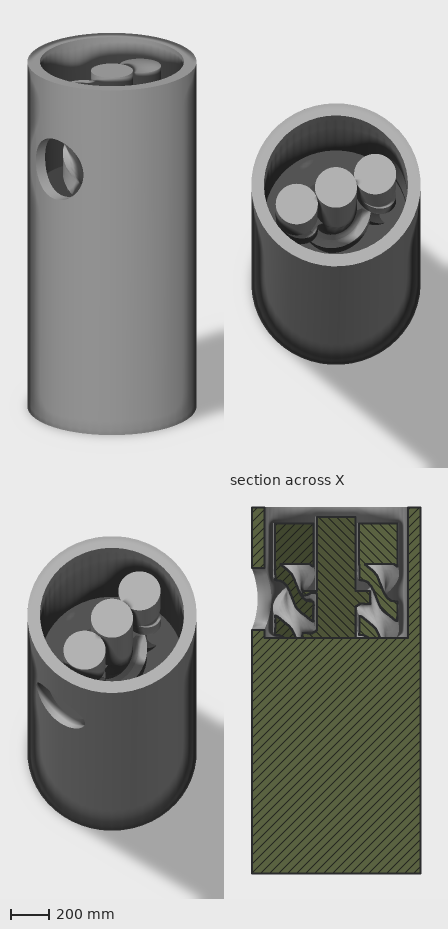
import cadquery as cq
import math

HOUSING_DIAMETER = 880.0
HOUSING_HEIGHT = 1907.0
BORE_DIAMETER = 750.0
FLOOR_Z = 1230.0
PORT_DIAMETER = 332.0
PORT_Z = 1430.0

PITCH_RADIUS = 109.6
POWER_TIP_RADIUS = 183.0
SHAFT_SPACING = 2 * PITCH_RADIUS
GROOVE_ROOT_HALF_ANGLE = 30.0
POWER_WEB_HALF_WIDTH = 55.0
LEAD = 572.0
POWER_THREAD_TOP_Z = 1472.0
IDLER_THREAD_TOP_Z = 1611.0
STARTS = 2
LOBE_PITCH = 360 / STARTS

POWER_SHAFT_TOP_Z = 1857.0
IDLER_SHAFT_TOP_Z = 1825.0

FLANK_STEPS = 8


def polar(radius, degrees):
    angle = math.radians(degrees)
    return (radius * math.cos(angle), radius * math.sin(angle))


def triangle_angle(side_a, side_b, opposite):
    """Angle in degrees between two sides of a triangle, from its three side lengths."""
    return math.degrees(math.acos((side_a**2 + side_b**2 - opposite**2) / (2 * side_a * side_b)))


def twist_angle(thread_top_z):
    """Turn of the thread between the housing floor and a given height."""
    return 360 * (thread_top_z - FLOOR_Z) / LEAD


def make_screw(section, hand, thread_top_z, shaft_top_z):
    """Twist a section up from the floor and put a plain shaft on top of it."""
    thread = section.twistExtrude(thread_top_z - FLOOR_Z, hand * twist_angle(thread_top_z))
    shaft = cq.Workplane("XY").workplane(offset=thread_top_z).circle(PITCH_RADIUS)
    shaft = shaft.extrude(shaft_top_z - thread_top_z)
    return thread.union(shaft)


def make_housing():
    body = cq.Workplane("XY").circle(HOUSING_DIAMETER / 2).extrude(HOUSING_HEIGHT)
    bore = cq.Workplane("XY").workplane(offset=FLOOR_Z).circle(BORE_DIAMETER / 2)
    bore = bore.extrude(HOUSING_HEIGHT - FLOOR_Z)
    port = cq.Workplane("XZ").center(0, PORT_Z).circle(PORT_DIAMETER / 2).extrude(HOUSING_DIAMETER)
    return body.cut(bore).cut(port)


def power_section(first_lobe_angle):
    """Root circle with lobes: each has a straight web, flanks on the idler circle and a round crest."""
    web_angle = math.degrees(math.asin(POWER_WEB_HALF_WIDTH / PITCH_RADIUS))
    tip_angle = triangle_angle(SHAFT_SPACING, PITCH_RADIUS, POWER_TIP_RADIUS)
    lobe_points = []
    for idler_angle in (web_angle, (web_angle + tip_angle) / 2, tip_angle):
        x, y = polar(PITCH_RADIUS, idler_angle)
        along = SHAFT_SPACING - x
        lobe_points.append((math.hypot(along, y), math.degrees(math.atan2(y, along))))
    web_top, bulge, tip = lobe_points

    section = cq.Workplane("XY").workplane(offset=FLOOR_Z)
    section = section.moveTo(*polar(PITCH_RADIUS, first_lobe_angle - web_angle))
    for start in range(STARTS):
        middle = first_lobe_angle + start * LOBE_PITCH
        section = (
            section.lineTo(*polar(web_top[0], middle - web_top[1]))
            .threePointArc(polar(bulge[0], middle - bulge[1]), polar(tip[0], middle - tip[1]))
            .threePointArc(polar(POWER_TIP_RADIUS, middle), polar(tip[0], middle + tip[1]))
            .threePointArc(polar(bulge[0], middle + bulge[1]), polar(web_top[0], middle + web_top[1]))
            .lineTo(*polar(PITCH_RADIUS, middle + web_angle))
            .threePointArc(
                polar(PITCH_RADIUS, middle + LOBE_PITCH / 2),
                polar(PITCH_RADIUS, middle + LOBE_PITCH - web_angle),
            )
        )
    return section.close()


def make_power_screw():
    """Right-handed screw whose lobes point along Y at the top of its thread."""
    section = power_section(90 - twist_angle(POWER_THREAD_TOP_Z))
    return make_screw(section, 1, POWER_THREAD_TOP_Z, POWER_SHAFT_TOP_Z)


def groove_flank():
    """Path of the power screw's tip in the idler's frame, as (radius, degrees) pairs.

    The screws turn at equal speed, so the path is an epitrochoid from idler root to rim.
    """
    end_roll = math.radians(triangle_angle(SHAFT_SPACING, POWER_TIP_RADIUS, PITCH_RADIUS))
    points = []
    for step in range(FLANK_STEPS + 1):
        roll = end_roll * step / FLANK_STEPS
        along = SHAFT_SPACING - POWER_TIP_RADIUS * math.cos(roll)
        across = POWER_TIP_RADIUS * math.sin(roll)
        points.append((math.hypot(along, across), math.degrees(math.atan2(across, along) - roll)))
    return points


def idler_section(first_groove_angle):
    """Round section with grooves: each has a round root between two epitrochoid flanks."""
    flank = [(radius, GROOVE_ROOT_HALF_ANGLE + degrees) for radius, degrees in groove_flank()]
    root_radius, root_angle = flank[0]
    rim_radius, rim_angle = flank[-1]
    section = cq.Workplane("XY").workplane(offset=FLOOR_Z)
    section = section.moveTo(*polar(rim_radius, first_groove_angle - rim_angle))
    for start in range(STARTS):
        middle = first_groove_angle + start * LOBE_PITCH
        falling = [polar(radius, middle - degrees) for radius, degrees in reversed(flank[:-1])]
        rising = [polar(radius, middle + degrees) for radius, degrees in flank[1:]]
        section = (
            section.spline(falling, includeCurrent=True)
            .threePointArc(polar(root_radius, middle), polar(root_radius, middle + root_angle))
            .spline(rising, includeCurrent=True)
            .threePointArc(
                polar(rim_radius, middle + LOBE_PITCH / 2),
                polar(rim_radius, middle + LOBE_PITCH - rim_angle),
            )
        )
    return section.close()


def make_idler(side):
    """Left-handed screw whose grooves take the power screw's lobes."""
    section = idler_section(90 + twist_angle(POWER_THREAD_TOP_Z))
    screw = make_screw(section, -1, IDLER_THREAD_TOP_Z, IDLER_SHAFT_TOP_Z)
    return screw.translate((0, side * SHAFT_SPACING, 0))


housing = make_housing()
power_screw = make_power_screw()
idlers = [make_idler(side) for side in (-1, 1)]

result = cq.Compound.makeCompound(
    [housing.val(), power_screw.solids().val(), *[idler.solids().val() for idler in idlers]]
)